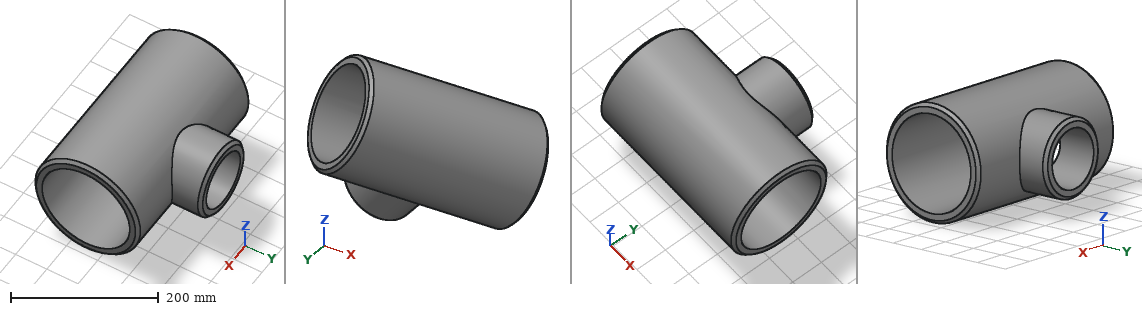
import cadquery as cq

run_length = 285.5
run_diameter = 168.2
wall = 14.0
branch_diameter = 114.5
overall_depth = 214.0
branch_reach = overall_depth - run_diameter / 2
chamfer = 4.9


def run_cylinder(diameter):
    """Cylinder along X, centred on the origin."""
    return cq.Workplane("YZ").circle(diameter / 2).extrude(run_length / 2, both=True)


def branch_cylinder(diameter):
    """Cylinder from the run axis out to the branch end face at +Y."""
    return cq.Workplane("XZ").circle(diameter / 2).extrude(-branch_reach)


run = run_cylinder(run_diameter).faces("<X or >X").chamfer(chamfer)
branch = branch_cylinder(branch_diameter).faces(">Y").chamfer(chamfer)

run_bore = run_cylinder(run_diameter - 2 * wall)
branch_bore = branch_cylinder(branch_diameter - 2 * wall)

result = run.union(branch).cut(run_bore).cut(branch_bore)